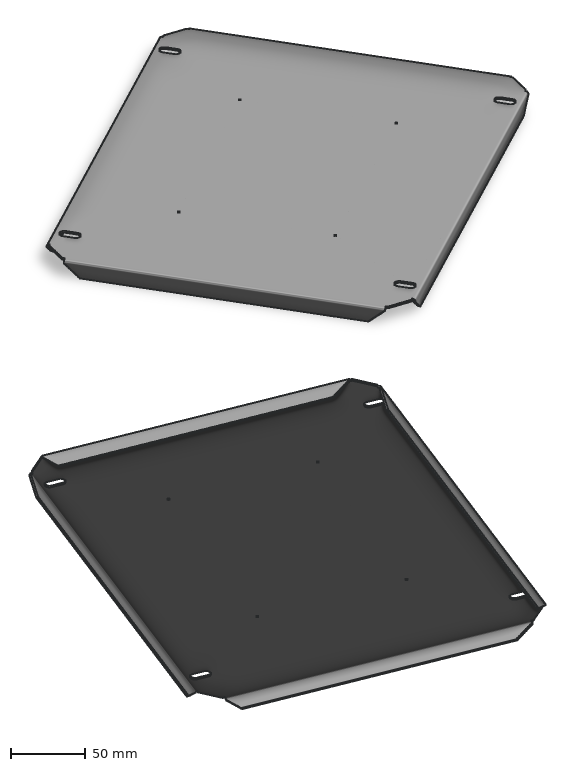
import cadquery as cq

width = 259.0
length = 311.5
height = 12.8
sheet = 1.5
bend_radius = 2.5

corner_setback = 16.8
flange_setback = 28.5
plate_corner_cut = 12.8

slot_length = 15.0
slot_width = 7.0
slot_spacing_x = 235.0
slot_spacing_y = 245.8

hole_diameter = 1.5
hole_spacing_x = 109.7
hole_spacing_y = 150.2


def make_shell():
    """Bent sheet with closed sides, open at the bottom."""
    outer = (
        cq.Workplane("XY")
        .box(width, length, height, centered=(True, True, False))
        .translate((0, 0, -height))
        .faces(">Z")
        .edges()
        .fillet(bend_radius)
    )
    inner = (
        cq.Workplane("XY")
        .box(width - 2 * sheet, length - 2 * sheet, height - sheet, centered=(True, True, False))
        .translate((0, 0, -height))
        .faces(">Z")
        .edges()
        .fillet(bend_radius - sheet)
    )
    return outer.cut(inner)


def flange_envelope(plane, span, depth):
    """Prism that keeps one pair of flanges, with sloping ends below the fold."""
    fold_end = span / 2 - corner_setback
    lower_end = span / 2 - flange_setback
    return (
        cq.Workplane(plane)
        .polyline([
            (-fold_end, 0),
            (fold_end, 0),
            (fold_end, -bend_radius),
            (lower_end, -height),
            (-lower_end, -height),
            (-fold_end, -bend_radius),
        ])
        .close()
        .extrude(depth / 2, both=True)
    )


def make_plate():
    """Flat plate inside the fold lines, with its corners cut off diagonally."""
    return (
        cq.Workplane("XY")
        .rect(width - 2 * bend_radius, length - 2 * bend_radius)
        .extrude(-sheet)
        .edges("|Z")
        .chamfer(plate_corner_cut)
    )


shell = make_shell()
front_and_back = shell.intersect(flange_envelope("XZ", width, length))
left_and_right = shell.intersect(flange_envelope("YZ", length, width))

tray = make_plate().union(front_and_back).union(left_and_right)

slots = (
    cq.Workplane("XY")
    .rect(slot_spacing_x, slot_spacing_y, forConstruction=True)
    .vertices()
    .slot2D(slot_length, slot_width)
    .extrude(-sheet)
)
holes = (
    cq.Workplane("XY")
    .rect(hole_spacing_x, hole_spacing_y, forConstruction=True)
    .vertices()
    .circle(hole_diameter / 2)
    .extrude(-sheet)
)

result = tray.cut(slots).cut(holes)